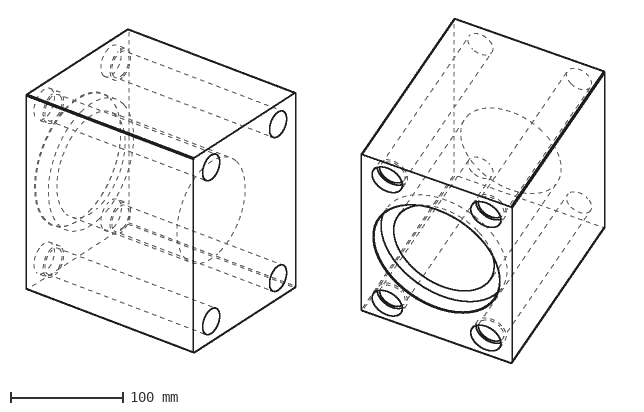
import cadquery as cq

length = 188.0
width = 150.0
height = 200.0
long_edge_chamfer = 1.0

bore_diameter = 100.0
bore_depth = 150.0
recess_diameter = 125.0
recess_depth = 15.0
recess_mouth_chamfer = 0.5

bolt_spacing_y = 98.0
bolt_spacing_z = 158.0
bolt_hole_diameter = 25.0
counterbore_diameter = 30.0
counterbore_depth = 10.5

mouth_x = -length / 2


def cylinder_from_mouth(diameter, depth, y=0.0, z=0.0):
    """Cylinder running from the -X face into the block."""
    start = cq.Vector(mouth_x, y, z)
    return cq.Workplane(cq.Solid.makeCylinder(diameter / 2, depth, start, cq.Vector(1, 0, 0)))


result = cq.Workplane("XY").box(length, width, height).edges("|X").chamfer(long_edge_chamfer)

result = result.cut(cylinder_from_mouth(bore_diameter, bore_depth))
result = result.cut(cylinder_from_mouth(recess_diameter, recess_depth))
mouth_cone = cq.Solid.makeCone(
    recess_diameter / 2 + recess_mouth_chamfer,
    recess_diameter / 2,
    recess_mouth_chamfer,
    cq.Vector(mouth_x, 0, 0),
    cq.Vector(1, 0, 0),
)
result = result.cut(cq.Workplane(mouth_cone))

for side_y in (-1, 1):
    for side_z in (-1, 1):
        hole_y = side_y * bolt_spacing_y / 2
        hole_z = side_z * bolt_spacing_z / 2
        result = result.cut(cylinder_from_mouth(bolt_hole_diameter, length, hole_y, hole_z))
        result = result.cut(cylinder_from_mouth(counterbore_diameter, counterbore_depth, hole_y, hole_z))